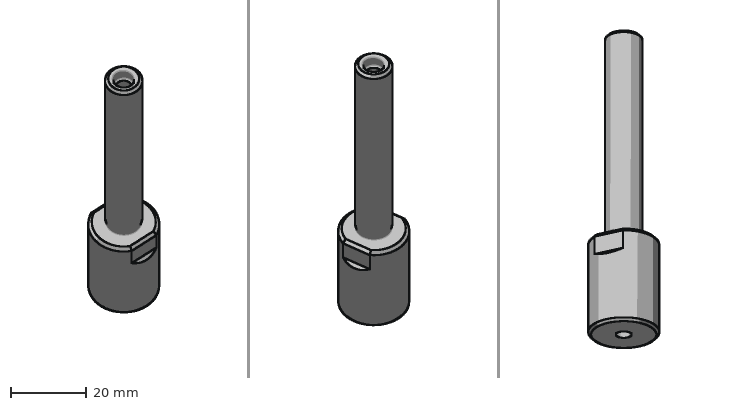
import cadquery as cq

total_height = 87.0

body_diameter = 19.0
body_height = 27.15
body_top_chamfer = 1.0
body_bottom_chamfer = 0.8

flat_width = 17.0
flat_length = 6.1
flat_runout = (body_diameter - flat_width) / 2

shaft_diameter = 10.0
shaft_chamfer = 0.9
neck_diameter = 9.6
neck_height = 1.8
neck_taper_height = 0.8
neck_foot_diameter = 10.5

through_diameter = 4.2
counterbore_diameter = 5.5
counterbore_depth = 3.4
counterbore_floor_radius = (counterbore_diameter - through_diameter) / 2
mouth_diameter = 7.0
mouth_radius = (mouth_diameter - counterbore_diameter) / 2


def make_flat_cutter():
    """Side profile of the +X wrench flat with its top chamfer and sloped end."""
    flat_x = flat_width / 2
    flat_bottom = body_height - flat_length
    outside = body_diameter / 2
    return (
        cq.Workplane("XZ")
        .moveTo(flat_x - body_top_chamfer, body_height)
        .lineTo(flat_x, body_height - body_top_chamfer)
        .lineTo(flat_x, flat_bottom)
        .lineTo(outside, flat_bottom - flat_runout)
        .lineTo(outside, body_height)
        .close()
        .extrude(body_diameter / 2, both=True)
    )


def make_body():
    body = cq.Workplane("XY").circle(body_diameter / 2).extrude(body_height)
    body = body.faces(">Z").chamfer(body_top_chamfer)
    body = body.faces("<Z").chamfer(body_bottom_chamfer)
    cutter = make_flat_cutter()
    return body.cut(cutter).cut(cutter.mirror("YZ"))


def make_shaft():
    """Chamfered shaft, tapered neck and the concave fillet at its foot, revolved about Z."""
    shaft_radius = shaft_diameter / 2
    neck_radius = neck_diameter / 2
    foot_radius = neck_foot_diameter / 2
    shaft_bottom = body_height + neck_height
    fillet = foot_radius - neck_radius
    return (
        cq.Workplane("XZ")
        .moveTo(0, body_height)
        .lineTo(foot_radius, body_height)
        .radiusArc((neck_radius, body_height + fillet), fillet)
        .lineTo(neck_radius, shaft_bottom - neck_taper_height)
        .lineTo(shaft_radius, shaft_bottom)
        .lineTo(shaft_radius, total_height - shaft_chamfer)
        .lineTo(shaft_radius - shaft_chamfer, total_height)
        .lineTo(0, total_height)
        .close()
        .revolve()
    )


def make_bore():
    """Stepped bore revolved about Z."""
    through_radius = through_diameter / 2
    counterbore_radius = counterbore_diameter / 2
    counterbore_bottom = total_height - counterbore_depth
    floor_arc_top = counterbore_bottom + counterbore_floor_radius
    return (
        cq.Workplane("XZ")
        .lineTo(through_radius, 0)
        .lineTo(through_radius, counterbore_bottom)
        .radiusArc((counterbore_radius, floor_arc_top), -counterbore_floor_radius)
        .lineTo(counterbore_radius, total_height - mouth_radius)
        .radiusArc((mouth_diameter / 2, total_height), mouth_radius)
        .lineTo(0, total_height)
        .close()
        .revolve()
    )


result = make_body().union(make_shaft()).cut(make_bore())